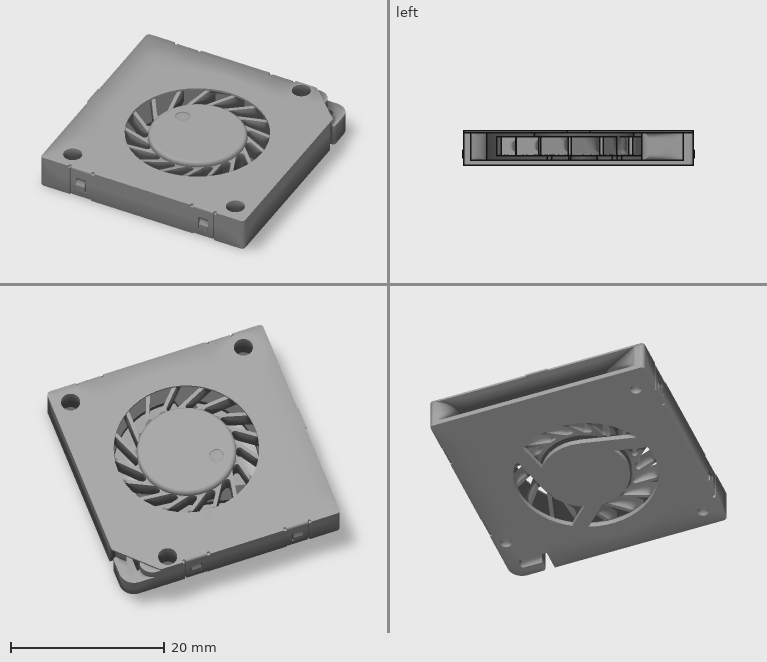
import cadquery as cq
import math

SIDE = 30.0
HALF = SIDE / 2
CORNER_RADIUS = 0.5
FLOOR_THICKNESS = 0.7
COVER_THICKNESS = 0.3
TOTAL_HEIGHT = 4.55
HOUSING_HEIGHT = TOTAL_HEIGHT - COVER_THICKNESS

AXIS_X = 0.7
AXIS_Y = -0.73

VOLUTE_X = 0.6
VOLUTE_Y = 0.2
VOLUTE_RADIUS = 12.7
OUTLET_LOW_Y = -13.7
OUTLET_HIGH_Y = 14.05
TONGUE_Y = -8.25
TONGUE_RADIUS = 1.6
TONGUE_SLOPE = math.radians(60)
FLARE_RADIUS = 3.5
FLARE_Y = 12.0

INLET_RADIUS = 9.5
INLET_Y = -0.8
SEAT_RADIUS = 5.8
SPOKE_WIDTH = 2.0
SPOKES = [(45, -3.15), (167, -5.0), (283, -4.85)]
POST_RADIUS = 0.3
POST_TOP = 1.5
POSTS = [(2.2, 4.5), (4.7, 1.7), (3.0, -4.0), (2.0, -4.6)]

SCREWS = [(-11.5, -12.55), (12.5, -12.55), (8.5, 13.5)]
SCREW_RADIUS = 0.75
SCREW_HEAD_RADIUS = 1.25
SCREW_SEAT_Z = 1.0

CHAMFER = 5.0
LEDGE_Z = 3.0
LEDGE_CORNER_RADIUS = 2.0
LAND_RADIUS = 1.8
LAND_X = 10.5
CABLE_SLOT_LEFT = 12.1
CABLE_SLOT_RIGHT = 13.5
CABLE_SLOT_CORNER_RADIUS = 0.45
CABLE_SLOT_TOP_Y = 13.3
CABLE_EXIT_LOW_Y = 9.2
CABLE_EXIT_HIGH_Y = 10.4
HOOK_RADIUS = 0.4

CLIPS = [(-1, -9.0, -9.1), (-1, 9.0, 9.1), (1, -9.0, -9.1), (1, 5.0, 5.0)]
CLIP_WIDTH = 3.0
CLIP_BOTTOM = 0.15
CLIP_CORNER_RADIUS = 0.2
BEND_RADIUS = 0.29
CLIP_CLEARANCE = 0.15
RELIEF_WIDTH = 0.4
RELIEF_DEPTH = 0.4
RELIEF_CORNER_RADIUS = 0.18
WINDOW_WIDTH = 1.5
WINDOW_BOTTOM = 1.0
WINDOW_TOP = 3.05
WINDOW_CORNER_RADIUS = 0.2
CATCH_WIDTH = 1.3
CATCH_PROUD = 0.1
CATCH_RAMP_START = 1.9
CATCH_TOP = 2.5

LIP_LENGTH = 3.0
LIP_PROUD = 0.15

BEARING_RADIUS = 1.75
BEARING_TOP = 3.0
BEARING_FOOT_FILLET = 0.1
SHAFT_RADIUS = 0.52
SHAFT_BOTTOM = FLOOR_THICKNESS

HUB_RADIUS = 6.5
HUB_TOP = 4.45
HUB_FILLET = 0.5
HUB_WALL = 0.5
HUB_ROOF = 0.7
BLADE_COUNT = 17
BLADE_BOTTOM = 1.3
BLADE_TOP = 3.75
BLADE_ROOT = 3.5
BLADE_END = 10.0
BLADE_OFFSET = 4.95
BLADE_THICKNESS = 0.5
BLADE_ROOT_FILLET = 0.4
GATE_MARK_X = -3.35
GATE_MARK_Y = 2.22
GATE_MARK_RADIUS = 1.0
GATE_MARK_DEPTH = 0.1


def box(x0, x1, y0, y1, z0, z1):
    return cq.Workplane("XY").box(x1 - x0, y1 - y0, z1 - z0, centered=False).translate((x0, y0, z0))


def disc(x, y, radius, z0, z1):
    return cq.Workplane("XY", origin=(x, y, z0)).circle(radius).extrude(z1 - z0)


def air_channel():
    """Volute with its flared outlet, from the floor to the housing top."""
    height = HOUSING_HEIGHT - FLOOR_THICKNESS
    nose_center_y = TONGUE_Y - TONGUE_RADIUS
    slope_end_y = nose_center_y + TONGUE_RADIUS * math.cos(TONGUE_SLOPE)
    slope_end_x = -HALF + (slope_end_y - OUTLET_LOW_Y) / math.tan(TONGUE_SLOPE)
    nose_center_x = slope_end_x + TONGUE_RADIUS * math.sin(TONGUE_SLOPE)
    nose_mid = math.radians(90) + TONGUE_SLOPE / 2
    flare_center_y = FLARE_Y + FLARE_RADIUS
    flare_drop = flare_center_y - OUTLET_HIGH_Y
    flare_center_x = -HALF + math.sqrt(FLARE_RADIUS**2 - flare_drop**2)
    flare_mid = (math.radians(180) + math.asin(flare_drop / FLARE_RADIUS) + math.radians(270)) / 2
    outlet = (
        cq.Workplane("XY", origin=(0, 0, FLOOR_THICKNESS))
        .moveTo(-HALF, OUTLET_LOW_Y)
        .lineTo(slope_end_x, slope_end_y)
        .threePointArc(
            (
                nose_center_x + TONGUE_RADIUS * math.cos(nose_mid),
                nose_center_y + TONGUE_RADIUS * math.sin(nose_mid),
            ),
            (nose_center_x, TONGUE_Y),
        )
        .lineTo(VOLUTE_X, TONGUE_Y)
        .lineTo(VOLUTE_X, FLARE_Y)
        .lineTo(flare_center_x, FLARE_Y)
        .threePointArc(
            (
                flare_center_x + FLARE_RADIUS * math.cos(flare_mid),
                flare_center_y + FLARE_RADIUS * math.sin(flare_mid),
            ),
            (-HALF, OUTLET_HIGH_Y),
        )
        .close()
        .extrude(height)
    )
    return outlet.union(disc(VOLUTE_X, VOLUTE_Y, VOLUTE_RADIUS, FLOOR_THICKNESS, HOUSING_HEIGHT))


def inlet():
    """Round opening in the floor, less the motor seat and its spokes."""
    opening = disc(AXIS_X, INLET_Y, INLET_RADIUS, 0, FLOOR_THICKNESS)
    opening = opening.cut(disc(AXIS_X, AXIS_Y, SEAT_RADIUS, 0, FLOOR_THICKNESS))
    for direction, shift in SPOKES:
        spoke = box(0, INLET_RADIUS, shift - SPOKE_WIDTH / 2, shift + SPOKE_WIDTH / 2, 0, FLOOR_THICKNESS)
        opening = opening.cut(spoke.rotate((0, 0, 0), (0, 0, 1), direction).translate((AXIS_X, AXIS_Y, 0)))
    return opening


def cable_corner_cuts():
    """Lowered ledge outside the cover chamfer, and the cable slot with its way out to +X."""
    ledge = (
        cq.Workplane("XY", origin=(0, 0, LEDGE_Z))
        .polyline([(HALF - CHAMFER, HALF), (HALF, HALF), (HALF, HALF - CHAMFER)])
        .close()
        .extrude(HOUSING_HEIGHT - LEDGE_Z)
    )
    land = disc(LAND_X, HALF - LAND_RADIUS, LAND_RADIUS, LEDGE_Z, HOUSING_HEIGHT)
    land_fill = box(LAND_X - LAND_RADIUS, LAND_X, HALF - LAND_RADIUS, HALF, LEDGE_Z, HOUSING_HEIGHT)
    land_right = LAND_X + LAND_RADIUS
    land_y = HALF - LAND_RADIUS
    land_side = box(LAND_X, land_right, HALF - CHAMFER, land_y, LEDGE_Z, HOUSING_HEIGHT)
    ledge = ledge.cut(land).cut(land_fill).cut(land_side)
    slot = box(CABLE_SLOT_LEFT, CABLE_SLOT_RIGHT, CABLE_EXIT_LOW_Y, CABLE_SLOT_TOP_Y, 0, HOUSING_HEIGHT)
    slot = slot.edges("|Z and >Y").fillet(CABLE_SLOT_CORNER_RADIUS)
    way_out = box(CABLE_SLOT_LEFT, HALF, CABLE_EXIT_LOW_Y, CABLE_EXIT_HIGH_Y, 0, HOUSING_HEIGHT)
    return ledge.union(slot).union(way_out)


def clip_recess(side, clip_x):
    """Recess for a clip tab, with its clearance on the end away from the middle of the side."""
    left = clip_x - CLIP_WIDTH / 2 - (CLIP_CLEARANCE if clip_x < 0 else 0)
    right = clip_x + CLIP_WIDTH / 2 + (CLIP_CLEARANCE if clip_x > 0 else 0)
    outer = side * HALF
    inner = side * (HALF - COVER_THICKNESS)
    return box(left, right, min(outer, inner), max(outer, inner), 0, HOUSING_HEIGHT)


def catch(side, catch_x):
    """Wedge that snaps into a clip window, with its ramp on top."""
    root = side * (HALF - COVER_THICKNESS)
    nose = side * (HALF + CATCH_PROUD)
    return (
        cq.Workplane("YZ", origin=(catch_x - CATCH_WIDTH / 2, 0, 0))
        .polyline([(root, WINDOW_BOTTOM), (nose, WINDOW_BOTTOM), (nose, CATCH_RAMP_START), (root, CATCH_TOP)])
        .close()
        .extrude(CATCH_WIDTH)
    )


def make_housing():
    body = box(-HALF, HALF, -HALF, HALF, 0, HOUSING_HEIGHT)
    body = body.edges("|Z and (not (>X and >Y))").fillet(CORNER_RADIUS)
    body = body.edges("|Z").edges(">(1,1,0)").fillet(LEDGE_CORNER_RADIUS)
    body = body.cut(air_channel()).cut(inlet()).cut(cable_corner_cuts())
    hook = cq.selectors.NearestToPointSelector((HALF, CABLE_EXIT_HIGH_Y, LEDGE_Z / 2))
    body = body.edges("|Z").edges(hook).fillet(HOOK_RADIUS)
    for x, y in SCREWS:
        body = body.cut(disc(x, y, SCREW_RADIUS, 0, HOUSING_HEIGHT))
        body = body.cut(disc(x, y, SCREW_HEAD_RADIUS, SCREW_SEAT_Z, HOUSING_HEIGHT))
    for x, y in POSTS:
        body = body.union(disc(AXIS_X + x, AXIS_Y + y, POST_RADIUS, FLOOR_THICKNESS, POST_TOP))
    for side, clip_x, catch_x in CLIPS:
        body = body.cut(clip_recess(side, clip_x)).union(catch(side, catch_x))
    return body


def tab_space(side, clip_x):
    """Sharp-edged block that a clip tab is shaped from."""
    outer = side * HALF
    inner = side * (HALF - COVER_THICKNESS)
    left = clip_x - CLIP_WIDTH / 2
    return box(left, left + CLIP_WIDTH, min(outer, inner), max(outer, inner), CLIP_BOTTOM, TOTAL_HEIGHT)


def clip_tab(side, clip_x):
    """Tab bent down from the cover edge, with a window for the catch."""
    tab = tab_space(side, clip_x)
    tab = tab.edges("|Y and <Z").fillet(CLIP_CORNER_RADIUS)
    bend = "|X and >Z and >Y" if side > 0 else "|X and >Z and <Y"
    tab = tab.edges(bend).fillet(BEND_RADIUS)
    window_left = clip_x - WINDOW_WIDTH / 2
    window_right = window_left + WINDOW_WIDTH
    low_y, high_y = sorted((side * HALF, side * (HALF - COVER_THICKNESS)))
    window = box(window_left, window_right, low_y, high_y, WINDOW_BOTTOM, WINDOW_TOP)
    window = window.edges("|Y and >Z").fillet(WINDOW_CORNER_RADIUS)
    return tab.cut(window)


def relief_notches(side, clip_x):
    """Round-bottomed notches that free the tab from the cover edge on both sides."""
    edge = side * HALF
    bottom = side * (HALF - RELIEF_DEPTH)
    notches = cq.Workplane("XY")
    for end in (-1, 1):
        x = clip_x + end * (CLIP_WIDTH + RELIEF_WIDTH) / 2
        half_width = RELIEF_WIDTH / 2
        notch = box(
            x - half_width,
            x + half_width,
            min(edge, bottom),
            max(edge, bottom),
            HOUSING_HEIGHT,
            TOTAL_HEIGHT,
        )
        rounded = "|Z and <Y" if side > 0 else "|Z and >Y"
        notches = notches.add(notch.edges(rounded).fillet(RELIEF_CORNER_RADIUS))
    return notches


def make_cover():
    plate = box(-HALF, HALF, -HALF, HALF, HOUSING_HEIGHT, TOTAL_HEIGHT)
    plate = plate.edges("|Z").edges(">(1,1,0)").chamfer(CHAMFER)
    plate = plate.edges("|Z").fillet(CORNER_RADIUS)
    plate = plate.cut(disc(AXIS_X, INLET_Y, INLET_RADIUS, HOUSING_HEIGHT, TOTAL_HEIGHT))
    for x, y in SCREWS:
        plate = plate.cut(disc(x, y, SCREW_HEAD_RADIUS, HOUSING_HEIGHT, TOTAL_HEIGHT))
    for side, clip_x, _ in CLIPS:
        for notch in relief_notches(side, clip_x).vals():
            plate = plate.cut(cq.Workplane(notch))
        plate = plate.cut(tab_space(side, clip_x)).union(clip_tab(side, clip_x))
    lip = box(-HALF - LIP_PROUD, -HALF, -LIP_LENGTH / 2, LIP_LENGTH / 2, HOUSING_HEIGHT, TOTAL_HEIGHT)
    return plate.union(lip)


def make_bearing():
    """Sleeve around the shaft, with a small concave fillet at its foot."""
    foot_radius = BEARING_RADIUS + BEARING_FOOT_FILLET
    foot_top = FLOOR_THICKNESS + BEARING_FOOT_FILLET
    sag = BEARING_FOOT_FILLET * (1 - math.sqrt(0.5))
    profile = (
        cq.Workplane("XZ")
        .moveTo(SHAFT_RADIUS, FLOOR_THICKNESS)
        .lineTo(foot_radius, FLOOR_THICKNESS)
        .threePointArc((BEARING_RADIUS + sag, FLOOR_THICKNESS + sag), (BEARING_RADIUS, foot_top))
        .lineTo(BEARING_RADIUS, BEARING_TOP)
        .lineTo(SHAFT_RADIUS, BEARING_TOP)
        .close()
    )
    return profile.revolve(360, (0, 0, 0), (0, 1, 0)).translate((AXIS_X, AXIS_Y, 0))


def make_blade():
    """Straight blade beside the axis, with a round web where it nears the hub."""
    height = BLADE_TOP - BLADE_BOTTOM
    blade = box(
        BLADE_OFFSET, BLADE_OFFSET + BLADE_THICKNESS, -BLADE_END, -BLADE_ROOT, BLADE_BOTTOM, BLADE_TOP
    )
    fillet_x = BLADE_OFFSET - BLADE_ROOT_FILLET
    fillet_y = -math.sqrt((HUB_RADIUS + BLADE_ROOT_FILLET) ** 2 - fillet_x**2)
    hub_direction = math.atan2(-fillet_y, -fillet_x)
    middle = hub_direction / 2
    web = (
        cq.Workplane("XY", origin=(0, 0, BLADE_BOTTOM))
        .moveTo(BLADE_OFFSET, fillet_y)
        .threePointArc(
            (
                fillet_x + BLADE_ROOT_FILLET * math.cos(middle),
                fillet_y + BLADE_ROOT_FILLET * math.sin(middle),
            ),
            (
                fillet_x + BLADE_ROOT_FILLET * math.cos(hub_direction),
                fillet_y + BLADE_ROOT_FILLET * math.sin(hub_direction),
            ),
        )
        .lineTo(BLADE_OFFSET, -BLADE_ROOT)
        .close()
        .extrude(height)
    )
    return blade.union(web)


def make_rotor():
    hub = disc(0, 0, HUB_RADIUS, BLADE_BOTTOM, HUB_TOP).faces(">Z").edges().fillet(HUB_FILLET)
    blade = make_blade()
    for index in range(BLADE_COUNT):
        hub = hub.union(blade.rotate((0, 0, 0), (0, 0, 1), index * 360 / BLADE_COUNT))
    hub = hub.cut(disc(0, 0, HUB_RADIUS - HUB_WALL, BLADE_BOTTOM, HUB_TOP - HUB_ROOF))
    hub = hub.cut(disc(0, 0, SHAFT_RADIUS, BLADE_BOTTOM, HUB_TOP))
    hub = hub.cut(disc(GATE_MARK_X, GATE_MARK_Y, GATE_MARK_RADIUS, HUB_TOP - GATE_MARK_DEPTH, HUB_TOP))
    return hub.translate((AXIS_X, AXIS_Y, 0))


housing = make_housing()
cover = make_cover()
bearing = make_bearing()
rotor = make_rotor()
shaft = disc(AXIS_X, AXIS_Y, SHAFT_RADIUS, SHAFT_BOTTOM, HUB_TOP)

result = cq.Compound.makeCompound([housing.val(), cover.val(), bearing.val(), rotor.val(), shaft.val()])